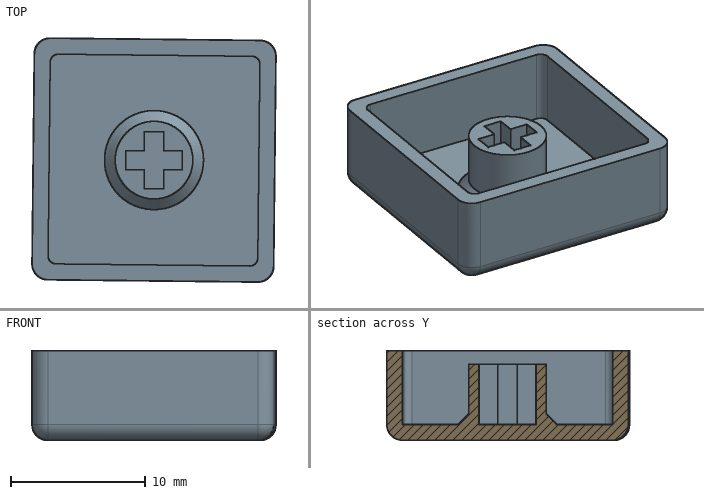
import cadquery as cq

side = 18.05
height = 6.7
wall = 1.2
floor_top = wall
edge_radius = 1.2
inner_corner_radius = 0.6
shell_turn = -0.62

stem_diameter = 5.8
stem_recess = 1.0
foot_size = 0.8
cross_span = 4.25
cross_arm_width = 1.42

stem_top = height - stem_recess
stem_root = floor_top / 2


def make_shell():
    """Hollow square tray with rounded corners and a rounded bottom edge."""
    body = cq.Workplane("XY").rect(side, side).extrude(height)
    body = body.edges("|Z or <Z").fillet(edge_radius)
    inner_side = side - 2 * wall
    cavity = cq.Workplane("XY").workplane(offset=floor_top).rect(inner_side, inner_side)
    cavity = cavity.extrude(height - floor_top).edges("|Z").fillet(inner_corner_radius)
    return body.cut(cavity).rotate((0, 0, 0), (0, 0, 1), shell_turn)


def make_stem():
    """Round stem and conical foot, revolved about Z and rooted in the floor."""
    stem_radius = stem_diameter / 2
    foot_radius = stem_radius + foot_size
    profile = cq.Workplane("XZ").polyline([
        (0, stem_root),
        (foot_radius, stem_root),
        (foot_radius, floor_top),
        (stem_radius, floor_top + foot_size),
        (stem_radius, stem_top),
        (0, stem_top),
    ]).close()
    return profile.revolve(360, (0, 0, 0), (0, 1, 0))


def make_cross_socket():
    """Cross-shaped cutter from the stem top down to the tray floor level."""
    base = cq.Workplane("XY").workplane(offset=floor_top)
    depth = stem_top - floor_top
    arm_along_x = base.rect(cross_span, cross_arm_width).extrude(depth)
    arm_along_y = base.rect(cross_arm_width, cross_span).extrude(depth)
    return arm_along_x.union(arm_along_y)


result = make_shell().union(make_stem()).cut(make_cross_socket())